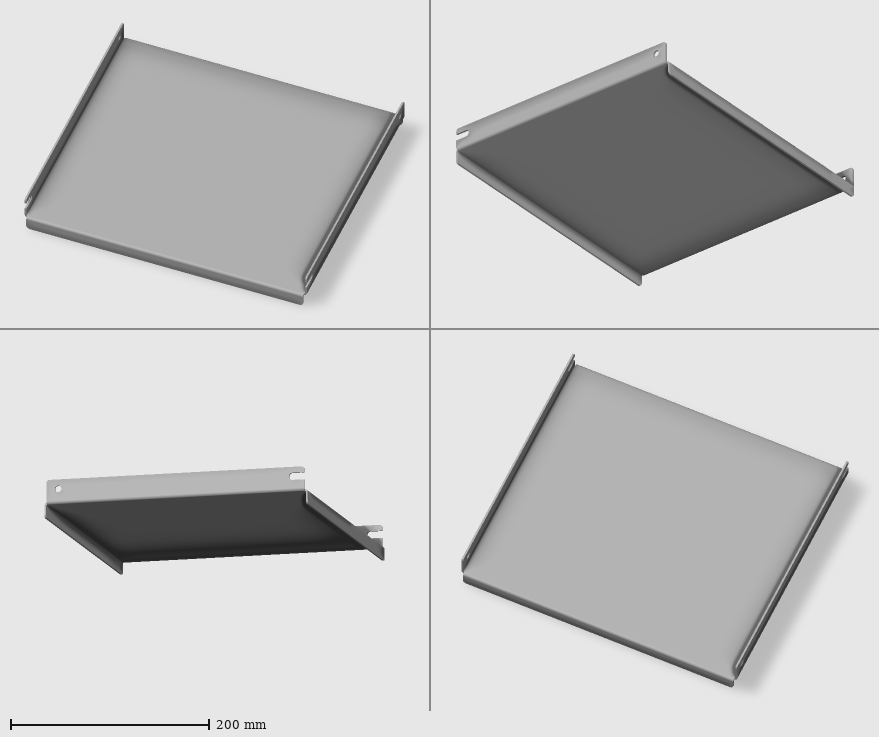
import cadquery as cq
import math

length_x = 306.0
width_y = 275.0
height_z = 38.0

thickness = 2.0
inner_radius = 1.0
outer_radius = inner_radius + thickness

lip_height = 15.0
wall_height = height_z - lip_height + thickness
lip_corner_radius = 4.0
wall_corner_radius = 3.0

panel_x = length_x - 2 * outer_radius
panel_y = width_y - 2 * outer_radius
panel_top = lip_height
panel_bottom = panel_top - thickness

mount_z = height_z - 9.8
hole_diameter = 6.7
hole_inset = 12.2
slot_width = 7.3
slot_depth = 16.0


def bent_flange(plane, panel_edge, panel_inside, turn, height, run):
    """Flange drawn in profile: u points outward, v up; turn is +1 for up, -1 for down."""
    bend_center = panel_inside + turn * inner_radius
    panel_outside = panel_inside - turn * thickness
    flange_end = panel_outside + turn * height
    diagonal = math.sqrt(0.5)

    def bend_middle(radius):
        return (panel_edge + radius * diagonal, bend_center - turn * radius * diagonal)

    return (
        cq.Workplane(plane)
        .moveTo(panel_edge, panel_inside)
        .threePointArc(bend_middle(inner_radius), (panel_edge + inner_radius, bend_center))
        .lineTo(panel_edge + inner_radius, flange_end)
        .lineTo(panel_edge + outer_radius, flange_end)
        .lineTo(panel_edge + outer_radius, bend_center)
        .threePointArc(bend_middle(outer_radius), (panel_edge, panel_outside))
        .close()
        .extrude(run / 2, both=True)
    )


def side_wall():
    """Upward wall on the +X side, with its hole at +Y and its slot open at -Y."""
    wall = bent_flange("XZ", panel_x / 2, panel_top, 1, wall_height, panel_y)
    wall = wall.edges("|X and >Z").edges("<Y or >Y").fillet(wall_corner_radius)
    hole = (
        cq.Workplane("YZ")
        .center(panel_y / 2 - hole_inset, mount_z)
        .circle(hole_diameter / 2)
        .extrude(length_x)
    )
    slot = (
        cq.Workplane("YZ")
        .center(-panel_y / 2, mount_z)
        .slot2D(2 * slot_depth, slot_width)
        .extrude(length_x)
    )
    return wall.cut(hole).cut(slot)


def end_lip():
    """Downward lip on the +Y side."""
    lip = bent_flange("YZ", panel_y / 2, panel_bottom, -1, lip_height, panel_x)
    return lip.edges("|Y and <Z").edges("<X or >X").fillet(lip_corner_radius)


panel = cq.Workplane("XY").workplane(offset=panel_bottom).rect(panel_x, panel_y).extrude(thickness)
wall = side_wall()
lip = end_lip()

result = panel
for flange, mirror_plane in ((wall, "YZ"), (lip, "XZ")):
    result = result.union(flange).union(flange.mirror(mirror_plane))